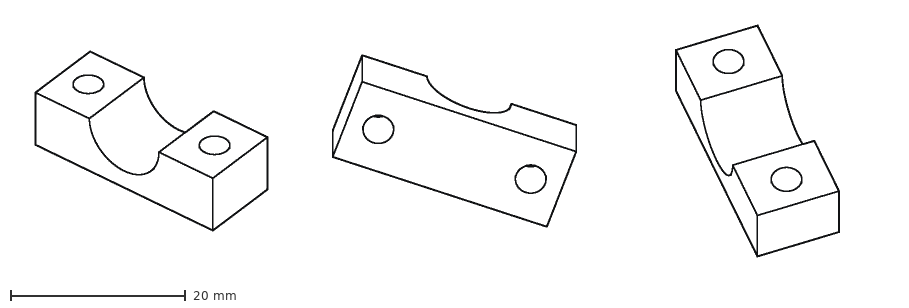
import cadquery as cq

length = 26.0
width = 10.0
height = 7.5

saddle_diameter = 10.2

hole_diameter = 3.5
hole_spacing = 18.5


def make_block():
    """Block centred on X and Y, with its base on Z = 0."""
    return cq.Workplane("XY").box(length, width, height, centered=(True, True, False))


def make_saddle_cutter():
    """Cylinder along Y with its axis in the top face."""
    return (
        cq.Workplane("XZ", origin=(0, width / 2, height))
        .circle(saddle_diameter / 2)
        .extrude(width)
    )


def make_hole_cutters():
    """Vertical cylinders through the full height of the block."""
    hole_centres = [(-hole_spacing / 2, 0), (hole_spacing / 2, 0)]
    return cq.Workplane("XY").pushPoints(hole_centres).circle(hole_diameter / 2).extrude(height)


result = make_block().cut(make_saddle_cutter()).cut(make_hole_cutters())